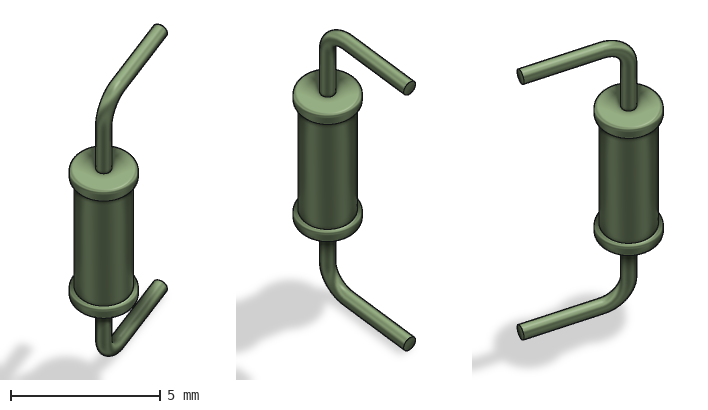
import cadquery as cq

BODY_DIAMETER = 2.0
BODY_LENGTH = 6.0
CAP_DIAMETER = 2.33
CAP_THICKNESS = 0.5
CAP_FILLET = 0.15
LEAD_DIAMETER = 0.55
LEAD_AXIAL_LENGTH = 2.0
LEAD_BEND_RADIUS = 1.0
LEAD_TAIL_LENGTH = 3.0

CAP_FACE_Z = BODY_LENGTH / 2


def make_body():
    """Cylindrical body along Z."""
    return cq.Workplane("XY").circle(BODY_DIAMETER / 2).extrude(CAP_FACE_Z, both=True)


def make_cap():
    """Upper end cap with both rims rounded."""
    return (
        cq.Workplane("XY")
        .workplane(offset=CAP_FACE_Z - CAP_THICKNESS)
        .circle(CAP_DIAMETER / 2)
        .extrude(CAP_THICKNESS)
        .edges("%CIRCLE")
        .fillet(CAP_FILLET)
    )


def make_lead():
    """Upper lead: up from the cap face, then bent a quarter turn towards +Y."""
    bend_start_z = CAP_FACE_Z + LEAD_AXIAL_LENGTH
    tail_z = bend_start_z + LEAD_BEND_RADIUS
    path = (
        cq.Workplane("YZ")
        .moveTo(0, CAP_FACE_Z)
        .lineTo(0, bend_start_z)
        .radiusArc((LEAD_BEND_RADIUS, tail_z), LEAD_BEND_RADIUS)
        .lineTo(LEAD_BEND_RADIUS + LEAD_TAIL_LENGTH, tail_z)
    )
    section = cq.Workplane("XY", origin=(0, 0, CAP_FACE_Z)).circle(LEAD_DIAMETER / 2)
    return section.sweep(path)


upper_end = make_cap().union(make_lead())
lower_end = upper_end.mirror("XY")
result = make_body().union(upper_end).union(lower_end)